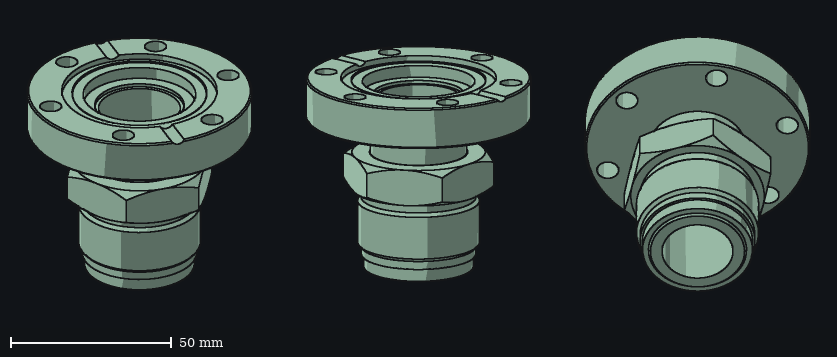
import cadquery as cq
import math

total_height = 61.9
flange_thickness = 13.0
flange_bottom = total_height - flange_thickness

flange_diameter = 70.0
flange_chamfer = 0.5
recess_diameter = 48.3
recess_depth = 1.9
knife_edge_diameter = 42.0
knife_edge_depth = 0.85
knife_foot_diameter = 41.6
seal_floor_depth = 1.25
counterbore_diameter = 35.0
counterbore_depth = 5.05
spigot_diameter = 27.8

bolt_count = 6
bolt_circle_diameter = 58.8
bolt_hole_diameter = 6.7
groove_width = 4.1
groove_depth = 1.05

spigot_top = total_height - 6.1
neck_diameter = 30.2
upper_bore_diameter = 25.4
lower_bore_diameter = 22.05
bore_step_height = 39.9
barrel_diameter = 30.5
barrel_chamfer = 0.6

nut_bottom = 0.7
nut_top = 37.7
hex_bottom = 26.25
hex_across_flats = 41.5
hex_across_corners = hex_across_flats / math.cos(math.radians(30))
hex_chamfer_angle = 30.0
pilot_diameter = 34.2
pilot_top = 4.8
relief_diameter = 35.8
thread_diameter = 38.0
thread_chamfer = (thread_diameter - relief_diameter) / 2
thread_bottom = 7.4
thread_top = 23.2


def revolve_profile(profile):
    """Revolve (diameter, height) points around the Z axis."""
    points = [(diameter / 2, height) for diameter, height in profile]
    return cq.Workplane("XZ").polyline(points).close().revolve(360, (0, 0, 0), (0, 1, 0))


def make_flange_blank():
    """Flange ring with its knife edge and stepped bore."""
    face_diameter = flange_diameter - 2 * flange_chamfer
    return revolve_profile([
        (spigot_diameter, flange_bottom),
        (face_diameter, flange_bottom),
        (flange_diameter, flange_bottom + flange_chamfer),
        (flange_diameter, total_height - flange_chamfer),
        (face_diameter, total_height),
        (recess_diameter, total_height),
        (recess_diameter, total_height - recess_depth),
        (knife_edge_diameter, total_height - knife_edge_depth),
        (knife_foot_diameter, total_height - seal_floor_depth),
        (counterbore_diameter, total_height - seal_floor_depth),
        (counterbore_diameter, total_height - counterbore_depth),
        (spigot_diameter, total_height - counterbore_depth),
    ])


def make_bolt_holes():
    """Through-hole cutters on the bolt circle, the first one on +Y."""
    return (
        cq.Workplane("XY", origin=(0, 0, flange_bottom))
        .polarArray(bolt_circle_diameter / 2, 90, 360, bolt_count)
        .circle(bolt_hole_diameter / 2)
        .extrude(flange_thickness)
    )


def make_grooves():
    """Round-bottomed groove cutters along X, from the recess to the rim on both sides."""
    radius = ((groove_width / 2) ** 2 + groove_depth ** 2) / (2 * groove_depth)
    axis_height = total_height - groove_depth + radius
    bar = (
        cq.Workplane("YZ")
        .center(0, axis_height)
        .circle(radius)
        .extrude(flange_diameter / 2, both=True)
    )
    recess_space = (
        cq.Workplane("XY", origin=(0, 0, total_height - recess_depth))
        .circle(recess_diameter / 2)
        .extrude(recess_depth + 2 * radius)
    )
    return bar.cut(recess_space)


def make_flange():
    return make_flange_blank().cut(make_bolt_holes()).cut(make_grooves())


def make_gland():
    """Tube whose spigot fills the flange bore and whose barrel fills the nut."""
    return revolve_profile([
        (lower_bore_diameter, 0),
        (barrel_diameter - 2 * barrel_chamfer, 0),
        (barrel_diameter, nut_bottom),
        (barrel_diameter, nut_top),
        (neck_diameter, nut_top),
        (neck_diameter, flange_bottom),
        (spigot_diameter, flange_bottom),
        (spigot_diameter, spigot_top),
        (upper_bore_diameter, spigot_top),
        (upper_bore_diameter, bore_step_height),
        (lower_bore_diameter, bore_step_height),
    ])


def make_hex():
    """Hexagon with corners on the Y axis, both ends chamfered by a cone."""
    corner_drop = (hex_across_corners - hex_across_flats) / 2 * math.tan(math.radians(hex_chamfer_angle))
    prism = (
        cq.Workplane("XY", origin=(0, 0, hex_bottom))
        .transformed(rotate=(0, 0, 90))
        .polygon(6, hex_across_corners)
        .extrude(nut_top - hex_bottom)
    )
    envelope = revolve_profile([
        (0, hex_bottom),
        (hex_across_flats, hex_bottom),
        (hex_across_corners, hex_bottom + corner_drop),
        (hex_across_corners, nut_top - corner_drop),
        (hex_across_flats, nut_top),
        (0, nut_top),
    ])
    return prism.intersect(envelope)


def make_nut():
    """Male nut: hexagon, relief, threaded length and pilot around one bore."""
    shank = revolve_profile([
        (0, nut_bottom),
        (pilot_diameter, nut_bottom),
        (pilot_diameter, pilot_top),
        (relief_diameter, pilot_top),
        (relief_diameter, thread_bottom),
        (thread_diameter, thread_bottom + thread_chamfer),
        (thread_diameter, thread_top - thread_chamfer),
        (relief_diameter, thread_top),
        (relief_diameter, hex_bottom),
        (0, hex_bottom),
    ])
    bore = (
        cq.Workplane("XY", origin=(0, 0, nut_bottom))
        .circle(barrel_diameter / 2)
        .extrude(nut_top - nut_bottom)
    )
    return make_hex().union(shank).cut(bore)


flange = make_flange()
gland = make_gland()
nut = make_nut()

result = cq.Compound.makeCompound([flange.val(), gland.val(), nut.val()])